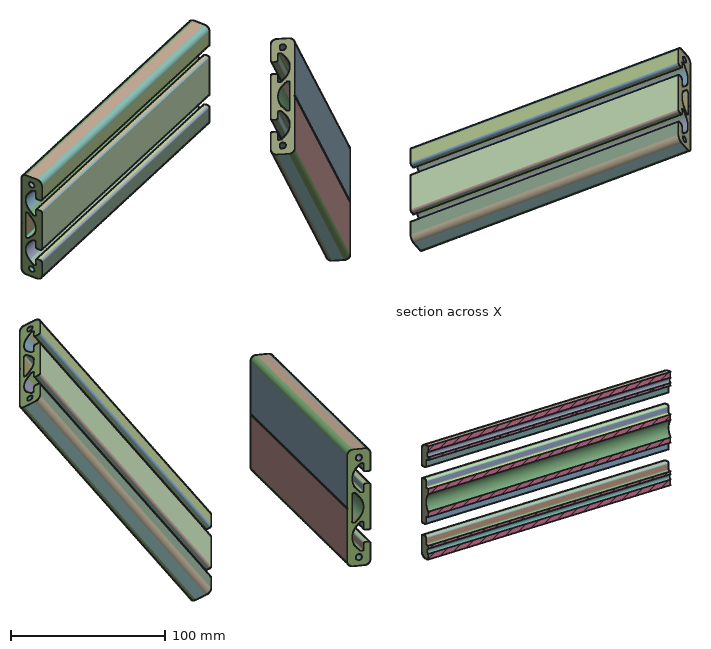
import cadquery as cq
import math

WIDTH = 16.0
LENGTH = 200.0
HEIGHT = 80.0
CORNER_RADIUS = 4.0

BACK_WALL = 3.5
FRONT_WALL = 4.8
BACK_INNER_X = -WIDTH / 2 + BACK_WALL
FRONT_INNER_X = WIDTH / 2 - FRONT_WALL

SLOT_OFFSET_Z = HEIGHT / 4
SLOT_MOUTH = 8.2
SLOT_HALF_HEIGHT = 10.0
SLOT_ARC_RADIUS = 10.2
LIP_RADIUS = 1.5

CHAMBER_HALF_HEIGHT = 10.2
CHAMBER_ARC_RADIUS = 10.2

CAVITY_CORNER_RADIUS = 1.0

SELECTION_MARGIN = 0.2

HOLE_DIAMETER = 4.2
HOLE_OFFSET_Z = 34.0

GROOVE_WIDTH = 0.5
GROOVE_DEPTH = 0.3


def profile_plane(center_z=0.0):
    """XZ sketch plane on the +Y end; positive extrusion runs toward -Y."""
    return cq.Workplane("XZ", origin=(0, LENGTH / 2, center_z))


def arched_cavity(center_z, flat_x, crown_x, half_height, radius):
    """Cavity with a flat wall opposite an arc that runs into 45-degree flanks."""
    toward_flat = math.copysign(1, flat_x - crown_x)
    arc_center_x = crown_x + toward_flat * radius
    tangent_z = radius * math.sin(math.radians(45))
    tangent_x = arc_center_x - toward_flat * tangent_z
    flank_end_x = tangent_x + toward_flat * (half_height - tangent_z)
    return (
        profile_plane(center_z)
        .moveTo(flat_x, -half_height)
        .lineTo(flat_x, half_height)
        .lineTo(flank_end_x, half_height)
        .lineTo(tangent_x, tangent_z)
        .threePointArc((crown_x, 0), (tangent_x, -tangent_z))
        .lineTo(flank_end_x, -half_height)
        .close()
        .extrude(LENGTH)
        .faces(">Z or <Z")
        .edges("|Y")
        .fillet(CAVITY_CORNER_RADIUS)
    )


def slot_mouth(center_z):
    """Opening through the front wall into a slot."""
    return (
        profile_plane(center_z)
        .moveTo((FRONT_INNER_X + WIDTH / 2) / 2, 0)
        .rect(FRONT_WALL, SLOT_MOUTH)
        .extrude(LENGTH)
    )


def marking_groove():
    back_x = -WIDTH / 2
    return (
        profile_plane()
        .moveTo(back_x, -GROOVE_WIDTH / 2)
        .lineTo(back_x + GROOVE_DEPTH, 0)
        .lineTo(back_x, GROOVE_WIDTH / 2)
        .close()
        .extrude(LENGTH)
    )


def lip_edges(center_z):
    """Selector for the four long edges of a slot mouth."""
    return cq.selectors.BoxSelector(
        (FRONT_INNER_X - SELECTION_MARGIN, -LENGTH, center_z - SLOT_MOUTH / 2 - SELECTION_MARGIN),
        (WIDTH / 2 + SELECTION_MARGIN, LENGTH, center_z + SLOT_MOUTH / 2 + SELECTION_MARGIN),
    )


body = profile_plane().rect(WIDTH, HEIGHT).extrude(LENGTH)
body = body.edges("|Y").fillet(CORNER_RADIUS)

for slot_z in (-SLOT_OFFSET_Z, SLOT_OFFSET_Z):
    body = body.cut(arched_cavity(
        slot_z, FRONT_INNER_X, BACK_INNER_X, SLOT_HALF_HEIGHT, SLOT_ARC_RADIUS
    ))
    body = body.cut(slot_mouth(slot_z))
    body = body.edges("|Y").edges(lip_edges(slot_z)).fillet(LIP_RADIUS)

body = body.cut(arched_cavity(
    0, BACK_INNER_X, FRONT_INNER_X, CHAMBER_HALF_HEIGHT, CHAMBER_ARC_RADIUS
))

holes = (
    profile_plane()
    .pushPoints([(0, -HOLE_OFFSET_Z), (0, HOLE_OFFSET_Z)])
    .circle(HOLE_DIAMETER / 2)
    .extrude(LENGTH)
)
result = body.cut(holes).cut(marking_groove())